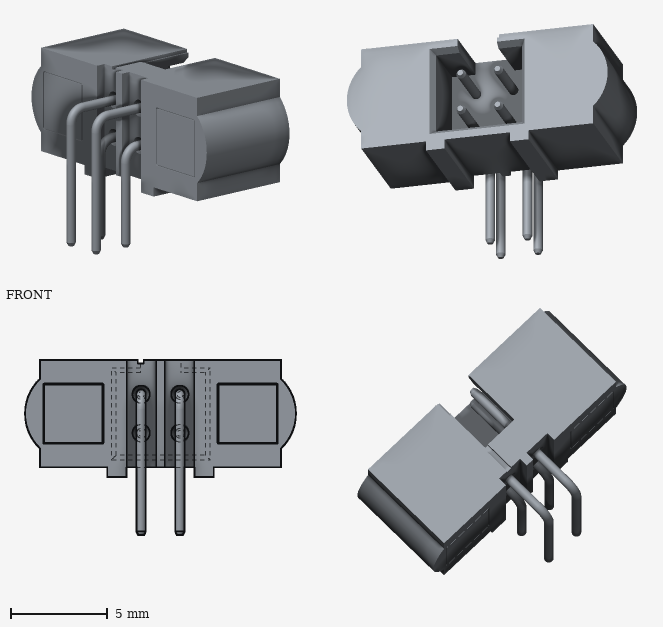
import cadquery as cq
import math

HOUSING_WIDTH = 12.45
HOUSING_DEPTH = 5.6
HOUSING_HEIGHT = 5.55
OVERALL_WIDTH = 14.0
MID_HEIGHT = HOUSING_HEIGHT / 2

CHEEK_CHORD = 3.6

RECESS_OUTER_X = 1.75
RIB_WIDTH = 0.46
RECESS_DEPTH = 0.5

FOOT_WIDTH = 1.0
FOOT_HEIGHT = 0.5

CAVITY_WIDTH = 4.6
CAVITY_HEIGHT = 4.25
CAVITY_DEPTH = 3.38
MOUTH_BEVEL_DEPTH = 0.35
MOUTH_BEVEL_RISE = 0.25

KEY_WIDTH = 2.1
GROOVE_X = -1.02
GROOVE_WIDTH = 0.3
GROOVE_DEPTH = 0.18

PIN_PITCH = 2.0
PIN_DIAMETER = 0.5
PIN_RADIUS = PIN_DIAMETER / 2
BEND_RADIUS = 0.75
TIP_LENGTH = 0.2
TIP_INSET = 0.1
LOWER_LEG_Y = -0.4
PIN_BELOW_FEET = 3.0
PIN_BOTTOM_Z = -FOOT_HEIGHT - PIN_BELOW_FEET
PIN_REAR_SETBACK = 0.3
PIN_REAR_Y = HOUSING_DEPTH - PIN_REAR_SETBACK
COUNTERSINK_DIAMETER = 0.9
COUNTERSINK_DEPTH = (COUNTERSINK_DIAMETER - PIN_DIAMETER) / 2

PIN_COLUMNS = [-PIN_PITCH / 2, PIN_PITCH / 2]
PIN_ROWS = [
    (MID_HEIGHT - PIN_PITCH / 2, LOWER_LEG_Y),
    (MID_HEIGHT + PIN_PITCH / 2, LOWER_LEG_Y - PIN_PITCH),
]

INSERT_SIZE = 3.0
INSERT_DEPTH = 3.0
INSERT_CLEARANCE = 0.06
POCKET_CORNER_RADIUS = 0.1
INSERT_X = 4.5
INSERT_CENTRES = [-INSERT_X, INSERT_X]


def box(x_min, x_max, y_min, y_max, z_min, z_max):
    return cq.Workplane("XY").box(
        x_max - x_min, y_max - y_min, z_max - z_min, centered=False
    ).translate((x_min, y_min, z_min))


def front_plane(y):
    """Plane facing -Y, with local X along +X and local Y along +Z."""
    return cq.Workplane("XZ", origin=(0, y, 0))


def make_shell():
    """Block with rounded cheeks and two standoff feet."""
    side = HOUSING_WIDTH / 2
    tip = OVERALL_WIDTH / 2
    chord_low = MID_HEIGHT - CHEEK_CHORD / 2
    chord_high = MID_HEIGHT + CHEEK_CHORD / 2
    foot_inner = RECESS_OUTER_X
    foot_outer = foot_inner + FOOT_WIDTH
    return (
        front_plane(0)
        .moveTo(-side, HOUSING_HEIGHT)
        .lineTo(side, HOUSING_HEIGHT)
        .lineTo(side, chord_high)
        .threePointArc((tip, MID_HEIGHT), (side, chord_low))
        .lineTo(side, 0)
        .lineTo(foot_outer, 0)
        .lineTo(foot_outer, -FOOT_HEIGHT)
        .lineTo(foot_inner, -FOOT_HEIGHT)
        .lineTo(foot_inner, 0)
        .lineTo(-foot_inner, 0)
        .lineTo(-foot_inner, -FOOT_HEIGHT)
        .lineTo(-foot_outer, -FOOT_HEIGHT)
        .lineTo(-foot_outer, 0)
        .lineTo(-side, 0)
        .lineTo(-side, chord_low)
        .threePointArc((-tip, MID_HEIGHT), (-side, chord_high))
        .close()
        .extrude(-HOUSING_DEPTH)
    )


def make_recesses():
    """Two front recesses, running the full height including the feet."""
    rib_side = RIB_WIDTH / 2
    right = box(rib_side, RECESS_OUTER_X, 0, RECESS_DEPTH, -FOOT_HEIGHT, HOUSING_HEIGHT)
    return right.union(right.mirror("YZ"))


def make_cavity():
    """Rear cavity with its bevelled mouth and the keying slot above it."""
    mouth_y = HOUSING_DEPTH - MOUTH_BEVEL_DEPTH
    cavity_y = HOUSING_DEPTH - CAVITY_DEPTH
    pocket = (
        front_plane(cavity_y)
        .center(0, MID_HEIGHT)
        .rect(CAVITY_WIDTH, CAVITY_HEIGHT)
        .extrude(-CAVITY_DEPTH)
    )
    mouth = (
        front_plane(mouth_y)
        .center(0, MID_HEIGHT)
        .rect(CAVITY_WIDTH, CAVITY_HEIGHT)
        .workplane(offset=-MOUTH_BEVEL_DEPTH)
        .rect(CAVITY_WIDTH + 2 * MOUTH_BEVEL_RISE, CAVITY_HEIGHT + 2 * MOUTH_BEVEL_RISE)
        .loft(ruled=True)
    )
    key_side = KEY_WIDTH / 2
    key = box(-key_side, key_side, cavity_y, HOUSING_DEPTH, MID_HEIGHT, HOUSING_HEIGHT)
    return pocket.union(mouth).union(key)


def make_groove():
    left = GROOVE_X - GROOVE_WIDTH / 2
    floor_z = HOUSING_HEIGHT - GROOVE_DEPTH
    return box(left, left + GROOVE_WIDTH, 0, HOUSING_DEPTH, floor_z, HOUSING_HEIGHT)


def make_pin_hole(x, z):
    """Through hole with a countersink in the recess floor."""
    hole = (
        front_plane(RECESS_DEPTH)
        .center(x, z)
        .circle(PIN_RADIUS)
        .extrude(-(HOUSING_DEPTH - RECESS_DEPTH))
    )
    countersink = (
        front_plane(RECESS_DEPTH)
        .center(x, z)
        .circle(COUNTERSINK_DIAMETER / 2)
        .workplane(offset=-COUNTERSINK_DEPTH)
        .circle(PIN_RADIUS)
        .loft(ruled=True)
    )
    return hole.union(countersink)


def make_insert(x):
    return (
        front_plane(0)
        .center(x, MID_HEIGHT)
        .rect(INSERT_SIZE, INSERT_SIZE)
        .extrude(-INSERT_DEPTH)
    )


def make_insert_pocket(x):
    """Pocket leaving an even gap around the insert, with small corner rounds."""
    pocket_size = INSERT_SIZE + 2 * INSERT_CLEARANCE
    return (
        front_plane(0)
        .center(x, MID_HEIGHT)
        .rect(pocket_size, pocket_size)
        .extrude(-INSERT_DEPTH)
        .edges("|Y")
        .fillet(POCKET_CORNER_RADIUS)
    )


def make_housing():
    body = make_shell().cut(make_recesses()).cut(make_cavity()).cut(make_groove())
    for x in PIN_COLUMNS:
        for arm_z, _ in PIN_ROWS:
            body = body.cut(make_pin_hole(x, arm_z))
    for x in INSERT_CENTRES:
        body = body.cut(make_insert_pocket(x))
    return body


def make_pin(x, arm_z, leg_y):
    """Right-angle round pin with a tapered tip at both ends."""
    bend_y = leg_y + BEND_RADIUS
    bend_z = arm_z - BEND_RADIUS
    diagonal = BEND_RADIUS * math.sqrt(0.5)
    path = (
        cq.Workplane("YZ", origin=(x, 0, 0))
        .moveTo(PIN_REAR_Y - TIP_LENGTH, arm_z)
        .lineTo(bend_y, arm_z)
        .threePointArc((bend_y - diagonal, bend_z + diagonal), (leg_y, bend_z))
        .lineTo(leg_y, PIN_BOTTOM_Z + TIP_LENGTH)
    )
    wire = (
        front_plane(PIN_REAR_Y - TIP_LENGTH)
        .center(x, arm_z)
        .circle(PIN_RADIUS)
        .sweep(path)
    )
    rear_tip = (
        front_plane(PIN_REAR_Y - TIP_LENGTH)
        .center(x, arm_z)
        .circle(PIN_RADIUS)
        .workplane(offset=-TIP_LENGTH)
        .circle(PIN_RADIUS - TIP_INSET)
        .loft(ruled=True)
    )
    lower_tip = (
        cq.Workplane("XY", origin=(x, leg_y, PIN_BOTTOM_Z))
        .circle(PIN_RADIUS - TIP_INSET)
        .workplane(offset=TIP_LENGTH)
        .circle(PIN_RADIUS)
        .loft(ruled=True)
    )
    return wire.union(rear_tip).union(lower_tip)


housing = make_housing()
inserts = [make_insert(x) for x in INSERT_CENTRES]
pins = [make_pin(x, arm_z, leg_y) for x in PIN_COLUMNS for arm_z, leg_y in PIN_ROWS]

result = cq.Compound.makeCompound(
    [housing.val()]
    + [insert.val() for insert in inserts]
    + [pin.val() for pin in pins]
)